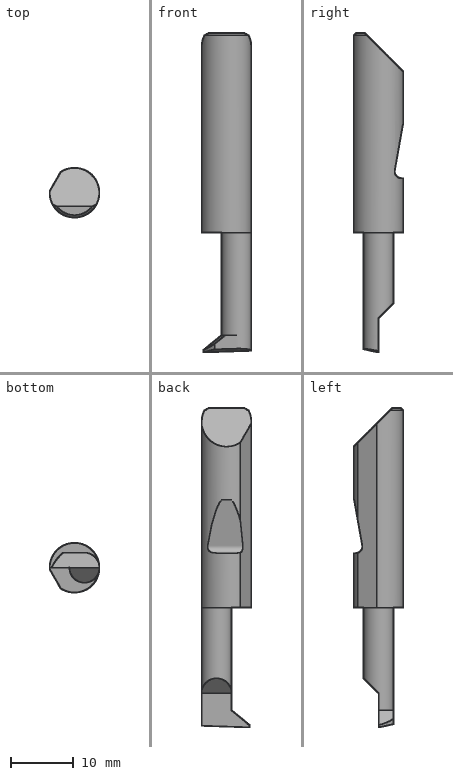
import cadquery as cq
import math

total_length = 50.8
shank_radius = 3.95
shank_bottom = 19.05
end_chamfer = 0.4
bevel_top_y = -2.2

flat_distance = 3.55
flat_direction = 150.0

notch_bottom = 27.75
notch_top = 36.15
notch_floor_y = 2.6
notch_radius = 1.0
notch_slope = 10.0

neck_radius = 2.4
neck_x = shank_radius - neck_radius
rake_start = 5.45

head_height = 2.75
tip_x = -3.65
tip_height = 0.4
relief_end_x = -1.85
relief_bulge = 0.15
bottom_rise = 0.25
bottom_clearance = 0.45
slope_clearance = 0.6

margin = 2.55


def prism_along_x(profile):
    """Extend a closed YZ profile to both sides of the shank."""
    return profile.extrude(shank_radius + margin, both=True)


def make_shank():
    shank = (
        cq.Workplane("XY", origin=(0, 0, shank_bottom))
        .circle(shank_radius)
        .extrude(total_length - shank_bottom)
        .faces(">Z")
        .chamfer(end_chamfer)
    )
    outside = shank_radius + margin
    bevel = prism_along_x(
        cq.Workplane("YZ")
        .moveTo(bevel_top_y - margin, total_length + margin)
        .lineTo(outside, total_length + margin)
        .lineTo(outside, total_length - (outside - bevel_top_y))
        .lineTo(bevel_top_y - margin, total_length + margin)
        .close()
    )
    flat = (
        cq.Workplane("XY")
        .box(margin, 2 * outside, total_length, centered=(False, True, False))
        .translate((flat_distance, 0, 0))
        .rotate((0, 0, 0), (0, 0, 1), flat_direction)
    )
    return shank.cut(bevel).cut(flat).cut(make_notch())


def make_notch():
    """Sloping run-in that ends in a rounded corner at the lower wall."""
    slope = math.radians(notch_slope)
    center_y = notch_floor_y + notch_radius
    center_z = notch_bottom + notch_radius
    tangent_y = center_y - notch_radius * math.cos(slope)
    tangent_z = center_z + notch_radius * math.sin(slope)
    middle = (3 * math.pi / 2 + math.pi - slope) / 2
    outside = shank_radius + margin
    exit_y = tangent_y + (notch_top - tangent_z) * math.tan(slope)
    return prism_along_x(
        cq.Workplane("YZ")
        .moveTo(outside, notch_bottom)
        .lineTo(center_y, notch_bottom)
        .threePointArc(
            (center_y + notch_radius * math.cos(middle), center_z + notch_radius * math.sin(middle)),
            (tangent_y, tangent_z),
        )
        .lineTo(exit_y, notch_top)
        .lineTo(outside, notch_top)
        .close()
    )


def make_neck():
    neck = (
        cq.Workplane("XY", origin=(neck_x, 0, head_height))
        .circle(neck_radius)
        .extrude(shank_bottom - head_height)
    )
    outside = neck_radius + margin
    rake_cut = prism_along_x(
        cq.Workplane("YZ")
        .lineTo(outside, 0)
        .lineTo(outside, rake_start + outside)
        .lineTo(0, rake_start)
        .close()
    )
    return neck.cut(rake_cut)


def head_outline(plane, slope_shift, bottom_shift):
    """XZ outline of the head, moved inward by its clearances."""
    slope_top_x = neck_x - neck_radius
    low_x = tip_x + slope_shift
    bottom_grade = bottom_rise / (shank_radius - tip_x)
    low_z = bottom_shift + bottom_grade * slope_shift
    return (
        plane.moveTo(shank_radius, head_height)
        .lineTo(slope_top_x + slope_shift, head_height)
        .lineTo(low_x, tip_height)
        .lineTo(low_x, low_z)
        .lineTo(shank_radius, bottom_rise + bottom_shift)
        .close()
    )


def make_head():
    chord_x = relief_end_x - tip_x
    chord_length = math.hypot(chord_x, neck_radius)
    relief_middle = (
        (tip_x + relief_end_x) / 2 - relief_bulge * neck_radius / chord_length,
        -neck_radius / 2 - relief_bulge * chord_x / chord_length,
    )
    corner = neck_radius * math.sqrt(0.5)
    plan = (
        cq.Workplane("XY")
        .moveTo(tip_x, 0)
        .threePointArc(relief_middle, (relief_end_x, -neck_radius))
        .lineTo(neck_x, -neck_radius)
        .threePointArc((neck_x + corner, -corner), (shank_radius, 0))
        .close()
        .extrude(head_height)
    )
    rake_outline = head_outline(cq.Workplane("XZ"), 0, 0)
    back_outline = head_outline(
        rake_outline.workplane(offset=neck_radius), slope_clearance, bottom_clearance
    )
    return plan.intersect(back_outline.loft(ruled=True))


result = make_shank().union(make_neck()).union(make_head()).clean()